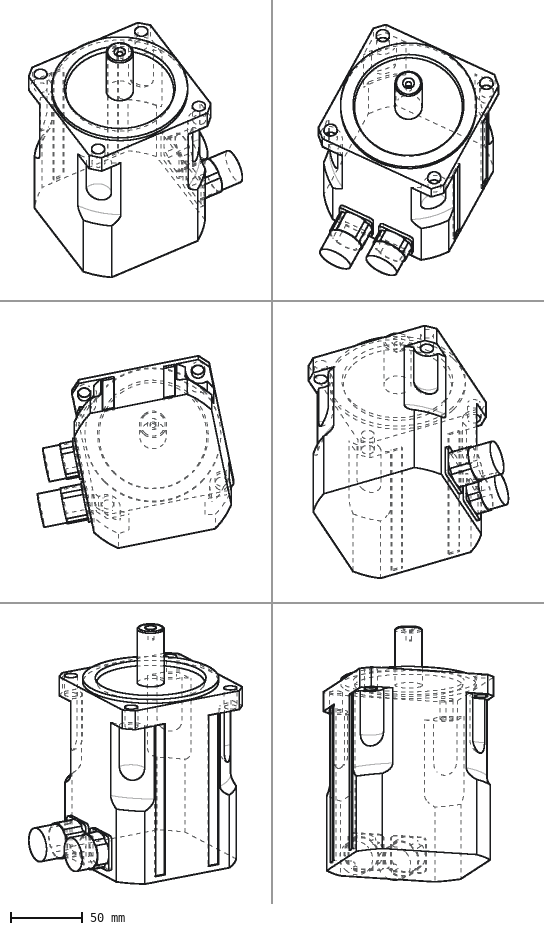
import cadquery as cq
import math

width = 98.0
half_width = width / 2
body_height = 115.3
flange_top = 129.1
flange_chamfer = 6.5
corner_radius = 60.0

pilot_diameter = 95.0
pilot_top = 132.0
recess_rim_diameter = 77.4
recess_floor_diameter = 75.4
recess_depth = 3.4

hole_diameter = 9.1
hole_offset = 40.5
relief_radius = 56.0
relief_bottom = 61.7
cove_radius = 10.0
slot_radius = 10.0
slot_distance = 59.3
slot_bottom = 84.2

groove_inner = 17.7
groove_outer = 25.9
groove_bottom = 4.0
groove_depth = 1.4

shaft_diameter = 19.0
shaft_top = 169.0
shaft_chamfer = 1.0
centre_diameter = 8.0
centre_bore_diameter = 4.0
centre_cone_depth = 2.0
centre_bore_depth = 8.5

connector_height = 19.0
connector_spacing = 31.1
plate_size = 25.5
plate_thickness = 2.4
plate_corner_radius = 2.7
barrel_diameter = 24.0
short_collar_end = 11.5
short_length = 23.8
long_collar_end = 17.4
long_length = 34.0

cove_height = math.sqrt(cove_radius**2 - (cove_radius - (corner_radius - relief_radius)) ** 2)


def cylinder(radius, bottom, top):
    return cq.Workplane("XY").workplane(offset=bottom).circle(radius).extrude(top - bottom)


def make_body():
    block = cq.Workplane("XY").rect(width, width).extrude(body_height)
    return block.intersect(cylinder(corner_radius, 0, body_height))


def make_corner_relief():
    """Ring outside the relief wall; its lower end flares outwards in a cove."""
    cove_middle_angle = math.acos(1 - (corner_radius - relief_radius) / cove_radius) / 2
    cove_middle = (
        relief_radius + cove_radius * (1 - math.cos(cove_middle_angle)),
        relief_bottom - cove_radius * math.sin(cove_middle_angle),
    )
    cove_end = (corner_radius, relief_bottom - cove_height)
    return (
        cq.Workplane("XZ")
        .moveTo(relief_radius, body_height)
        .lineTo(relief_radius, relief_bottom)
        .threePointArc(cove_middle, cove_end)
        .lineTo(width, relief_bottom - cove_height)
        .lineTo(width, body_height)
        .close()
        .revolve(360, (0, 0, 0), (0, 1, 0))
    )


def make_slots():
    """Round-ended clearance slots, one below each mounting hole."""
    slot_offset = slot_distance / math.sqrt(2)
    slot = cylinder(slot_radius, slot_bottom, body_height)
    slot = slot.union(cq.Workplane("XY").sphere(slot_radius).translate((0, 0, slot_bottom)))
    slots = cq.Workplane("XY")
    for x in (-slot_offset, slot_offset):
        for y in (-slot_offset, slot_offset):
            slots = slots.add(slot.translate((x, y, 0)))
    return slots.combine()


def make_grooves():
    groove_width = groove_outer - groove_inner
    groove_middle = (groove_outer + groove_inner) / 2
    return (
        cq.Workplane("YZ")
        .workplane(offset=-half_width)
        .pushPoints([(y, (groove_bottom + body_height) / 2) for y in (-groove_middle, groove_middle)])
        .rect(groove_width, body_height - groove_bottom)
        .extrude(groove_depth)
    )


def make_flange():
    flange = (
        cq.Workplane("XY")
        .workplane(offset=body_height)
        .rect(width, width)
        .extrude(flange_top - body_height)
        .edges("|Z")
        .chamfer(flange_chamfer)
    )
    holes = (
        cq.Workplane("XY")
        .workplane(offset=body_height)
        .rect(2 * hole_offset, 2 * hole_offset, forConstruction=True)
        .vertices()
        .circle(hole_diameter / 2)
        .extrude(flange_top - body_height)
    )
    pilot = cylinder(pilot_diameter / 2, flange_top, pilot_top)
    recess = cq.Workplane(
        cq.Solid.makeCone(
            recess_floor_diameter / 2,
            recess_rim_diameter / 2,
            recess_depth,
            pnt=cq.Vector(0, 0, pilot_top - recess_depth),
        )
    )
    return flange.cut(holes).union(pilot).cut(recess)


def make_shaft():
    shaft = cylinder(shaft_diameter / 2, body_height, shaft_top).faces(">Z").chamfer(shaft_chamfer)
    cone = cq.Solid.makeCone(
        centre_bore_diameter / 2,
        centre_diameter / 2,
        centre_cone_depth,
        pnt=cq.Vector(0, 0, shaft_top - centre_cone_depth),
    )
    bore = cylinder(centre_bore_diameter / 2, shaft_top - centre_bore_depth, shaft_top)
    return shaft.cut(cq.Workplane(cone)).cut(bore)


def make_housing():
    body = make_body().cut(make_corner_relief()).cut(make_slots()).cut(make_grooves())
    return body.union(make_flange()).union(make_shaft())


def make_connector(x, collar_end, length):
    """Square plate, round collar notched at the plate corners, and plain barrel, along +Y."""
    notch_offset = plate_size / 2 - plate_corner_radius
    base = cq.Workplane(cq.Plane((x, half_width, connector_height), (-1, 0, 0), (0, 1, 0)))
    plate = base.rect(plate_size, plate_size).extrude(plate_thickness)
    plate = plate.edges("|Y").fillet(plate_corner_radius)
    notches = (
        base.workplane(offset=plate_thickness)
        .rect(2 * notch_offset, 2 * notch_offset, forConstruction=True)
        .vertices()
        .circle(plate_corner_radius)
        .extrude(collar_end - plate_thickness)
    )
    collar = base.circle(plate_size / 2).extrude(collar_end).cut(notches)
    barrel = base.workplane(offset=collar_end).circle(barrel_diameter / 2).extrude(length - collar_end)
    return plate.union(collar).union(barrel)


housing = make_housing()
short_connector = make_connector(-connector_spacing / 2, short_collar_end, short_length)
long_connector = make_connector(connector_spacing / 2, long_collar_end, long_length)

result = cq.Compound.makeCompound([housing.val(), short_connector.val(), long_connector.val()])